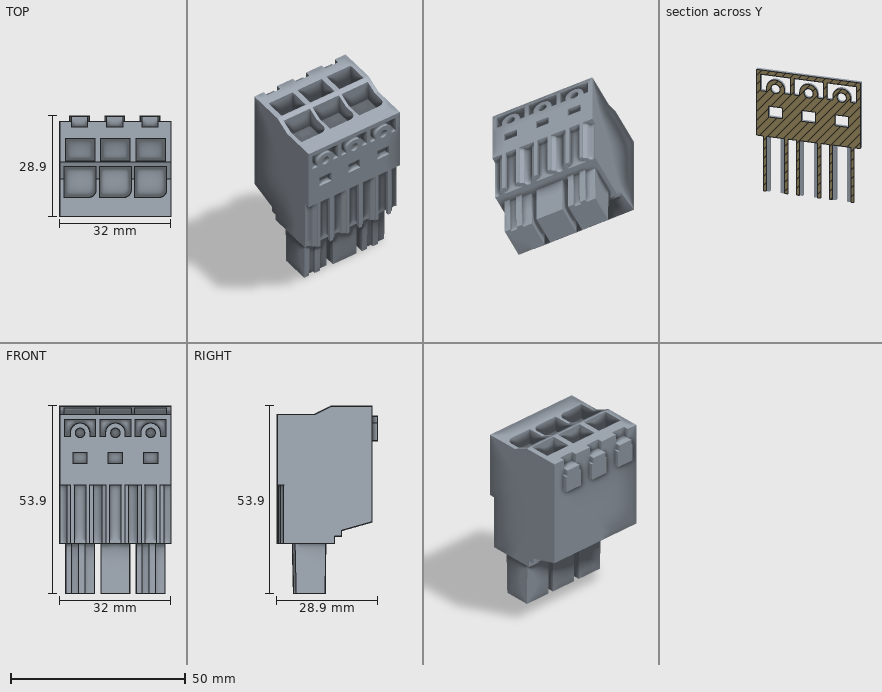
import cadquery as cq


pole_count = 3
pitch = 10.15
pole_centres = [(i - (pole_count - 1) / 2) * pitch for i in range(pole_count)]

height = 53.9
width = 31.95
depth = 27.35
front_height = 51.55
slope_front_y = 10.8
slope_back_y = 15.65
bottom_z = 14.4
low_step_y = 16.55
low_step_z = 16.45
high_step_y = 18.55
high_step_z = 18.1
back_bottom_z = 20.6

pocket_floor_z = 46.7
rear_pocket_width = 8.45
rear_pocket_y = (15.95, 22.5)
front_pocket_width = 9.2
front_pocket_y = (5.5, 14.4)
front_pocket_corner_radius = 2.25

upper_window_width = 8.95
upper_window_z = (45.15, 50.1)
upper_window_depth = 3.25
boss_radius = 2.8
boss_hole_radius = 1.35
boss_centre_z = 46.2
lower_window_width = 4.1
lower_window_z = (37.4, 40.6)
lower_window_depth = 1.95

rib_top_z = 31.2
rib_inner_x = 1.65
rib_outer_x = 2.7
rib_side_depth = 0.4
groove_edge_x = 3.8
groove_edge_depth = 1.0
groove_depth = 2.05
lip_thickness = 1.0
channel_half_width = 2.7
channel_depth = 2.0

prong_width = 8.3
prong_top_y = (4.35, 14.0)
prong_tip_y = (4.7, 13.85)
plain_prong_front_y = 4.8
coding_depth = 0.8
coding_steps_x = [(-2.4, -0.45), (1.35, prong_width / 2)]

latch_offset_x = -0.15
latch_bottom_z = 43.9
latch_head_top_z = 49.05
latch_top_z = 51.0
latch_head_width = 5.65
latch_tongue_width = 4.65
latch_head_depth = 1.55
latch_tongue_depth = 1.6


def block(x_range, y_range, z_range):
    """Box spanning the given ranges."""
    size = [high - low for low, high in (x_range, y_range, z_range)]
    return cq.Workplane("XY").box(*size, centered=False).translate((x_range[0], y_range[0], z_range[0]))


def around(centre, span):
    """Range of the given span about a centre."""
    return (centre - span / 2, centre + span / 2)


def side_extrusion(points, x_range):
    """Solid with a (y, z) outline running across an X range."""
    outline = cq.Workplane("YZ", origin=(x_range[0], 0, 0)).polyline(points).close()
    return outline.extrude(x_range[1] - x_range[0])


def make_shell():
    outline = [
        (0, bottom_z),
        (low_step_y, bottom_z),
        (low_step_y, low_step_z),
        (high_step_y, low_step_z),
        (high_step_y, high_step_z),
        (depth, back_bottom_z),
        (depth, height),
        (slope_back_y, height),
        (slope_front_y, front_height),
        (0, front_height),
    ]
    return side_extrusion(outline, around(0, width))


def rear_pocket(pole_x):
    return block(around(pole_x, rear_pocket_width), rear_pocket_y, (pocket_floor_z, height))


def front_pocket(pole_x):
    """Pocket with its front right corner rounded."""
    pocket = block(around(pole_x, front_pocket_width), front_pocket_y, (pocket_floor_z, height))
    return pocket.edges("|Z and >X and <Y").fillet(front_pocket_corner_radius)


def upper_window(pole_x):
    """Recess that leaves an arched boss standing on its sill, with a round hole in the boss."""
    window = block(around(pole_x, upper_window_width), (0, upper_window_depth), upper_window_z)
    front = cq.Workplane("XZ", origin=(pole_x, 0, boss_centre_z))
    boss = front.circle(boss_radius).extrude(-upper_window_depth)
    boss_foot = block(
        around(pole_x, 2 * boss_radius), (0, upper_window_depth), (upper_window_z[0], boss_centre_z)
    )
    hole = front.circle(boss_hole_radius).extrude(-upper_window_depth)
    return window.cut(boss).cut(boss_foot).union(hole)


def lower_window(pole_x):
    return block(around(pole_x, lower_window_width), (0, lower_window_depth), lower_window_z)


def rib_channel(pole_x):
    """T-shaped channel whose mouth lies between the two ribs of a pole and widens behind them."""
    z_range = (bottom_z, rib_top_z)
    mouth = block(around(pole_x, 2 * rib_inner_x), (0, lip_thickness), z_range)
    back = block(around(pole_x, 2 * channel_half_width), (lip_thickness, channel_depth), z_range)
    return mouth.union(back)


def rib_groove(centre_x):
    """Round-bottomed groove between the ribs of neighbouring poles."""
    rib_gap = pitch / 2 - rib_outer_x
    arc_half_width = pitch / 2 - groove_edge_x
    return (
        cq.Workplane("XY", origin=(centre_x, 0, bottom_z))
        .moveTo(-rib_gap, 0)
        .lineTo(-rib_gap, rib_side_depth)
        .lineTo(-arc_half_width, groove_edge_depth)
        .threePointArc((0, groove_depth), (arc_half_width, groove_edge_depth))
        .lineTo(rib_gap, rib_side_depth)
        .lineTo(rib_gap, 0)
        .close()
        .extrude(rib_top_z - bottom_z)
    )


def coded_prong(pole_x):
    """Tapered prong with two coding steps in its front."""
    top_front, top_back = prong_top_y
    tip_front, tip_back = prong_tip_y
    outline = [(tip_front, 0), (tip_back, 0), (top_back, bottom_z), (top_front, bottom_z)]
    prong = side_extrusion(outline, around(pole_x, prong_width))
    step_outline = [
        (0, 0),
        (tip_front + coding_depth, 0),
        (top_front + coding_depth, bottom_z),
        (0, bottom_z),
    ]
    for start, end in coding_steps_x:
        prong = prong.cut(side_extrusion(step_outline, (pole_x + start, pole_x + end)))
    return prong


def plain_prong(pole_x):
    return block(around(pole_x, prong_width), (plain_prong_front_y, prong_tip_y[1]), (0, bottom_z))


def latch_slot(pole_x):
    """Slot in the back wall, open to the top."""
    return block(
        around(pole_x + latch_offset_x, latch_tongue_width),
        (depth - latch_tongue_depth, depth),
        (latch_bottom_z, height),
    )


def make_housing():
    housing = make_shell()
    for pole_x in pole_centres:
        for cutter in (
            rear_pocket, front_pocket, upper_window, lower_window, rib_channel, latch_slot
        ):
            housing = housing.cut(cutter(pole_x))
    for i in range(pole_count + 1):
        housing = housing.cut(rib_groove((i - pole_count / 2) * pitch))
    for i, pole_x in enumerate(pole_centres):
        is_outer = i in (0, pole_count - 1)
        housing = housing.union(coded_prong(pole_x) if is_outer else plain_prong(pole_x))
    return housing


def make_latch(pole_x):
    """Tongue filling the slot, with a wider head behind the back wall."""
    centre = pole_x + latch_offset_x
    outer_y = depth + latch_head_depth
    tongue = block(
        around(centre, latch_tongue_width),
        (depth - latch_tongue_depth, outer_y),
        (latch_bottom_z, latch_top_z),
    )
    head = block(around(centre, latch_head_width), (depth, outer_y), (latch_bottom_z, latch_head_top_z))
    return tongue.union(head)


housing = make_housing()
latches = [make_latch(pole_x) for pole_x in pole_centres]

result = cq.Compound.makeCompound([*housing.solids().vals(), *[latch.solids().val() for latch in latches]])